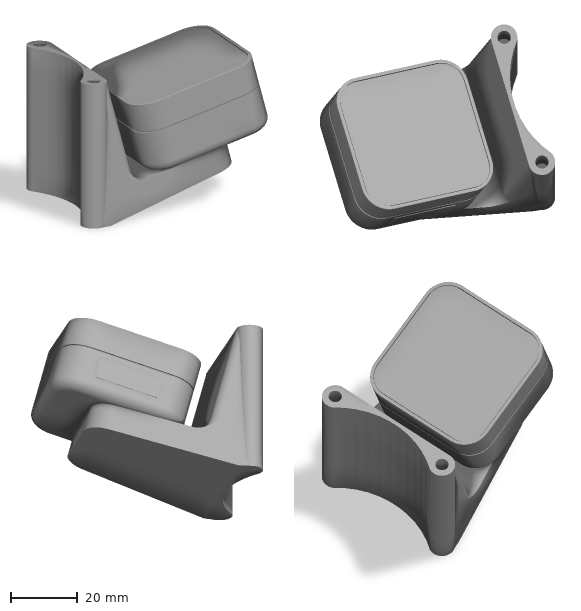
import cadquery as cq
import math

bracket_height = 45.0
boss_radius = 4.0
boss_spacing = 40.0
bolt_hole_diameter = 4.0
bolt_hole_depth = 10.1
plate_min_thickness = 1.15

contact_inset = 1.85
contact_half_span = boss_spacing / 2 - contact_inset
contact_y = -math.sqrt(boss_radius**2 - contact_inset**2)
hollow_rise = boss_radius - plate_min_thickness - contact_y
pipe_radius = (contact_half_span**2 + hollow_rise**2) / (2 * hollow_rise)
pipe_axis_y = contact_y + hollow_rise - pipe_radius

tilt_angle = 15
arm_thickness = 8.0
arm_length = 46.25
arm_half_width_at_root = 23.4
arm_half_width_at_end = 16.75
arm_corner_radius = 7.45
wall_rear = bracket_height * math.sin(math.radians(tilt_angle))
wall_corner_radius = 2.6
wall_root_radius = 5.0
arm_taper = (arm_half_width_at_root - arm_half_width_at_end) / arm_length

stock_size = 2 * bracket_height
stock_front = -bracket_height / 2
select_margin = 0.65

case_size = 41.95
case_corner_radius = 8.0
case_front = 18.1
case_center = case_front + case_size / 2
lower_height = 13.5
lower_edge_radius = 3.0
seam_gap = 0.5
seam_depth = 0.5
upper_height = 9.0
upper_edge_chamfer = 0.1
seam_bottom = arm_thickness + lower_height
upper_bottom = seam_bottom + seam_gap
case_top = upper_bottom + upper_height

pad_length = 20.0
pad_height = 6.2
pad_bottom = 13.3
pad_corner_radius = 0.6
pad_rise = 0.2

rim_width = 1.0
screen_clearance = 0.2
screen_recess = 0.2
screen_thickness = 2.0
screen_corner_radius = 6.5


def lean(body):
    """Place a body built in the leaning frame."""
    return body.rotate((0, 0, 0), (1, 0, 0), tilt_angle).translate((0, boss_radius, 0))


def arm_half_width(y):
    return arm_half_width_at_root - arm_taper * y


def tapered_block(rear, corner_radius, height):
    """Block with the arm's tapered sides and rounded rear corners."""
    front_half = arm_half_width(stock_front)
    rear_half = arm_half_width(rear)
    return (
        cq.Workplane("XY")
        .polyline([
            (-front_half, stock_front),
            (front_half, stock_front),
            (rear_half, rear),
            (-rear_half, rear),
        ])
        .close()
        .extrude(height)
        .edges("|Z and >Y")
        .fillet(corner_radius)
    )


def arm_and_wall():
    """Arm with its leaning back wall; the root fillet is made on a wide slab, then trimmed."""
    slab = (
        cq.Workplane("XY")
        .box(stock_size, arm_length - stock_front, arm_thickness, centered=(True, False, False))
        .translate((0, stock_front, 0))
    )
    wall = tapered_block(wall_rear, wall_corner_radius, stock_size)
    root_half = arm_half_width(stock_front)
    root_edges = cq.selectors.BoxSelector(
        (-root_half, stock_front + select_margin, arm_thickness - select_margin),
        (root_half, wall_rear + select_margin, arm_thickness + select_margin),
    )
    filleted = slab.union(wall).edges(root_edges).fillet(wall_root_radius)
    outline = tapered_block(arm_length, arm_corner_radius, stock_size)
    upright_limits = cq.Workplane("XY").box(
        stock_size, stock_size, bracket_height, centered=(True, False, False)
    )
    return lean(filleted.intersect(outline)).intersect(upright_limits)


def make_bracket():
    boss_centers = [(-boss_spacing / 2, 0), (boss_spacing / 2, 0)]
    plate = (
        cq.Workplane("XY")
        .box(boss_spacing, boss_radius - contact_y, bracket_height, centered=(True, False, False))
        .translate((0, contact_y, 0))
    )
    bosses = cq.Workplane("XY").pushPoints(boss_centers).circle(boss_radius).extrude(bracket_height)
    pipe = cq.Workplane("XY").center(0, pipe_axis_y).circle(pipe_radius).extrude(bracket_height)
    bolt_holes = (
        cq.Workplane("XY", origin=(0, 0, bracket_height - bolt_hole_depth))
        .pushPoints(boss_centers)
        .circle(bolt_hole_diameter / 2)
        .extrude(bolt_hole_depth)
    )
    return plate.union(bosses).union(arm_and_wall()).cut(pipe).cut(bolt_holes)


def rounded_block(inset, corner_radius, bottom, height):
    """Square block, centered on the case, with its sides moved inward from the case by the inset."""
    side = case_size - 2 * inset
    return (
        cq.Workplane("XY", origin=(0, case_center, bottom))
        .rect(side, side)
        .extrude(height)
        .edges("|Z")
        .fillet(corner_radius)
    )


def make_lower_shell():
    shell = rounded_block(0, case_corner_radius, arm_thickness, lower_height)
    shell = shell.faces("<Z").edges().fillet(lower_edge_radius)
    seam_spigot = rounded_block(seam_depth, case_corner_radius - seam_depth, seam_bottom, seam_gap)
    pad = (
        cq.Workplane("XY")
        .box(2 * pad_rise, pad_length, pad_height, centered=(True, True, False))
        .edges("|X")
        .fillet(pad_corner_radius)
        .translate((-case_size / 2, case_center, pad_bottom))
    )
    return lean(shell.union(seam_spigot).union(pad))


def make_upper_shell():
    shell = rounded_block(0, case_corner_radius, upper_bottom, upper_height)
    shell = shell.faces(">Z").edges().chamfer(upper_edge_chamfer)
    pocket_depth = screen_thickness + screen_recess
    pocket = rounded_block(rim_width, case_corner_radius - rim_width, case_top - pocket_depth, pocket_depth)
    return lean(shell.cut(pocket))


def make_screen():
    screen_bottom = case_top - screen_recess - screen_thickness
    screen_inset = rim_width + screen_clearance
    return lean(rounded_block(screen_inset, screen_corner_radius, screen_bottom, screen_thickness))


bracket = make_bracket()
lower_shell = make_lower_shell()
upper_shell = make_upper_shell()
screen = make_screen()

result = cq.Compound.makeCompound([
    bracket.val(),
    lower_shell.val(),
    upper_shell.val(),
    screen.val(),
])